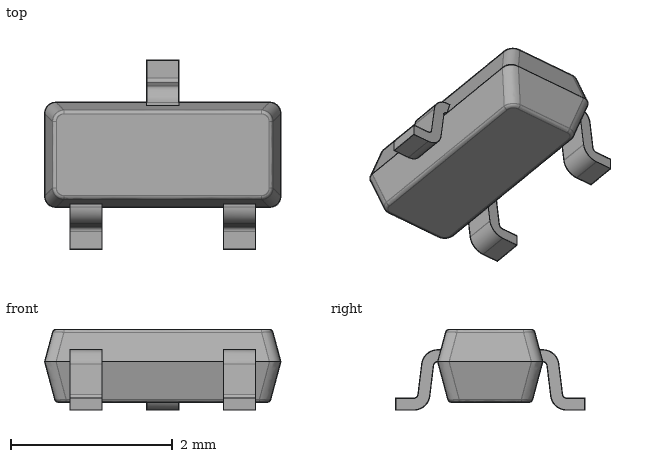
import cadquery as cq
import math

body_length = 2.92
body_width = 1.3
body_bottom = 0.095
parting_height = 0.6
body_top = 1.0
draft_angle = 15.0
corner_radius = 0.145
edge_radius = 0.05

lead_span = 2.34
lead_width = 0.4
lead_thickness = 0.15
lead_top = 0.748
lead_lean = 7.0
knee_y = 0.825
lead_root_y = 0.495
inner_bend_radius = 0.053
outer_bend_radius = inner_bend_radius + lead_thickness
lead_pitch = 1.898


def body_half(end_height):
    """Drafted half from the parting plane to end_height, with rounded edges."""
    height = abs(end_height - parting_height)
    inset = height * math.tan(math.radians(draft_angle))
    half = (
        cq.Workplane("XY")
        .workplane(offset=parting_height)
        .rect(body_length, body_width)
        .workplane(offset=end_height - parting_height)
        .rect(body_length - 2 * inset, body_width - 2 * inset)
        .loft(combine=True)
    )
    half = half.edges("not(#Z)").fillet(corner_radius)
    end_face = ">Z" if end_height > parting_height else "<Z"
    return half.faces(end_face).edges().fillet(edge_radius)


def lead(x_center, side):
    """Bent lead centred on x_center; side is +1 for +Y and -1 for -Y."""
    lean = math.radians(lead_lean)
    leg_thickness_y = lead_thickness / math.cos(lean)

    def outer_leg_y(z):
        return knee_y + (lead_top - z) * math.tan(lean)

    def inner_leg_y(z):
        return outer_leg_y(z) - leg_thickness_y

    tip_y = lead_span / 2
    root_bottom = lead_top - lead_thickness
    outline = [
        (lead_root_y, lead_top),
        (outer_leg_y(lead_top), lead_top),
        (outer_leg_y(lead_thickness), lead_thickness),
        (tip_y, lead_thickness),
        (tip_y, 0),
        (inner_leg_y(0), 0),
        (inner_leg_y(root_bottom), root_bottom),
        (lead_root_y, root_bottom),
    ]
    strip = (
        cq.Workplane("YZ", origin=(x_center, 0, 0))
        .polyline([(side * y, z) for y, z in outline])
        .close()
        .extrude(lead_width / 2, both=True)
    )

    def bend_edge(y, z):
        return cq.selectors.NearestToPointSelector((x_center, side * y, z))

    outer_bends = [(outer_leg_y(lead_top), lead_top), (inner_leg_y(0), 0)]
    inner_bends = [
        (outer_leg_y(lead_thickness), lead_thickness),
        (inner_leg_y(root_bottom), root_bottom),
    ]
    for y, z in outer_bends:
        strip = strip.edges("|X").edges(bend_edge(y, z)).fillet(outer_bend_radius)
    for y, z in inner_bends:
        strip = strip.edges("|X").edges(bend_edge(y, z)).fillet(inner_bend_radius)
    return strip


result = body_half(body_top).union(body_half(body_bottom))
for x_center, side in [(-lead_pitch / 2, -1), (lead_pitch / 2, -1), (0, 1)]:
    result = result.union(lead(x_center, side))